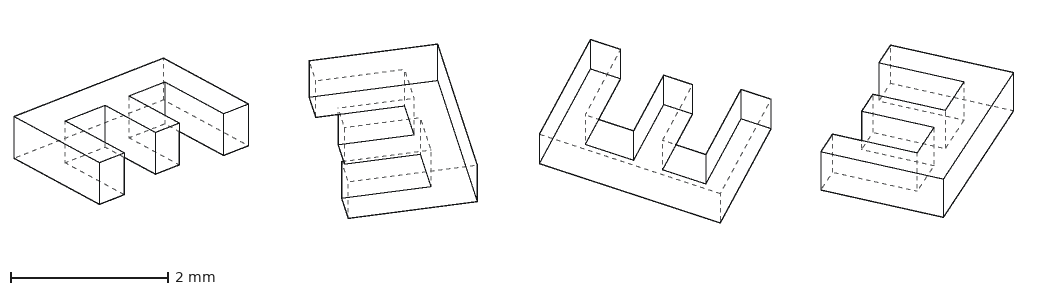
import cadquery as cq

width = 1.68
height = 2.5
thickness = 0.6

stem_width = 0.518
top_arm_length = 1.672
outer_arm_height = 0.418
middle_arm_length = 1.505
middle_arm_height = 0.4
middle_arm_bottom = 1.085


def bar(length, bar_height, bottom):
    """Bar starting at the left edge of the plate, with its lower side at the given Y."""
    return cq.Workplane("XY").box(length, bar_height, thickness, centered=False).translate((0, bottom, 0))


stem = bar(stem_width, height, 0)
bottom_arm = bar(width, outer_arm_height, 0)
middle_arm = bar(middle_arm_length, middle_arm_height, middle_arm_bottom)
top_arm = bar(top_arm_length, outer_arm_height, height - outer_arm_height)

result = stem.union(bottom_arm).union(middle_arm).union(top_arm).clean()